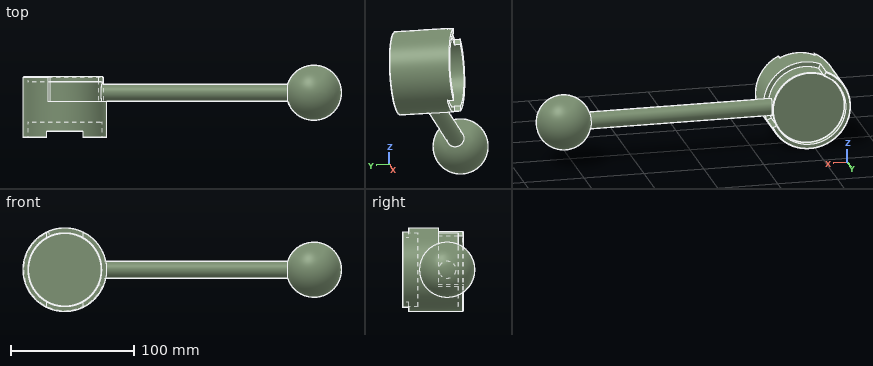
import cadquery as cq
import math

OVERALL_LENGTH = 259.0
HUB_DIAMETER = 68.0
HUB_LENGTH = 49.5
HUB_BACK_CHAMFER = 0.65

BORE_DIAMETER = 60.0
PLUG_CHAMFER = 0.5
FRONT_RECESS = 12.0
BACK_RECESS = 4.1

NOTCH_WIDTH = 29.5
NOTCH_DEPTH = 5.0

ROD_DIAMETER = 14.0
LEVER_BELOW_BACK = 13.2
BALL_DIAMETER = 45.0

SLOT_DEPTH = LEVER_BELOW_BACK + ROD_DIAMETER / 2
SLOT_MIDDLE_ANGLE = 45.0
SLOT_SWEEP = 137.0

HUB_RADIUS = HUB_DIAMETER / 2
LEVER_Y = HUB_LENGTH - LEVER_BELOW_BACK
BALL_X = OVERALL_LENGTH - HUB_RADIUS - BALL_DIAMETER / 2


def cylinder_along_y(diameter, start, end):
    """Cylinder on the hub axis between two Y positions."""
    return cq.Workplane("XZ", origin=(0, start, 0)).circle(diameter / 2).extrude(start - end)


def make_sleeve():
    """Outer ring with a chamfered rim at the back."""
    sleeve = cylinder_along_y(HUB_DIAMETER, 0, HUB_LENGTH)
    sleeve = sleeve.faces(">Y").chamfer(HUB_BACK_CHAMFER)
    return sleeve.cut(cylinder_along_y(BORE_DIAMETER, 0, HUB_LENGTH))


def make_front_notches():
    """Straight channel across the front rim, notching it at top and bottom."""
    return cq.Workplane("XY").box(
        NOTCH_WIDTH, NOTCH_DEPTH, HUB_DIAMETER, centered=(True, False, True)
    )


def make_lever_slot():
    """Sector that opens the back of the sleeve over the lever's swing."""
    reach = HUB_DIAMETER

    def point_at(angle):
        radians = math.radians(angle)
        return (reach * math.cos(radians), reach * math.sin(radians))

    return (
        cq.Workplane("XZ", origin=(0, HUB_LENGTH, 0))
        .lineTo(*point_at(SLOT_MIDDLE_ANGLE - SLOT_SWEEP / 2))
        .threePointArc(point_at(SLOT_MIDDLE_ANGLE), point_at(SLOT_MIDDLE_ANGLE + SLOT_SWEEP / 2))
        .close()
        .extrude(SLOT_DEPTH)
    )


def make_plug():
    """Solid core that fills the bore, with both edges chamfered."""
    plug = cylinder_along_y(BORE_DIAMETER, FRONT_RECESS, HUB_LENGTH - BACK_RECESS)
    return plug.faces("<Y or >Y").chamfer(PLUG_CHAMFER)


def make_lever():
    """Round rod from the hub axis to a ball knob."""
    rod = cq.Workplane("YZ", origin=(0, LEVER_Y, 0)).circle(ROD_DIAMETER / 2).extrude(BALL_X)
    ball = cq.Workplane("XY", origin=(BALL_X, LEVER_Y, 0)).sphere(BALL_DIAMETER / 2)
    return rod.union(ball)


sleeve = make_sleeve().cut(make_front_notches()).cut(make_lever_slot())
result = sleeve.union(make_plug()).union(make_lever())